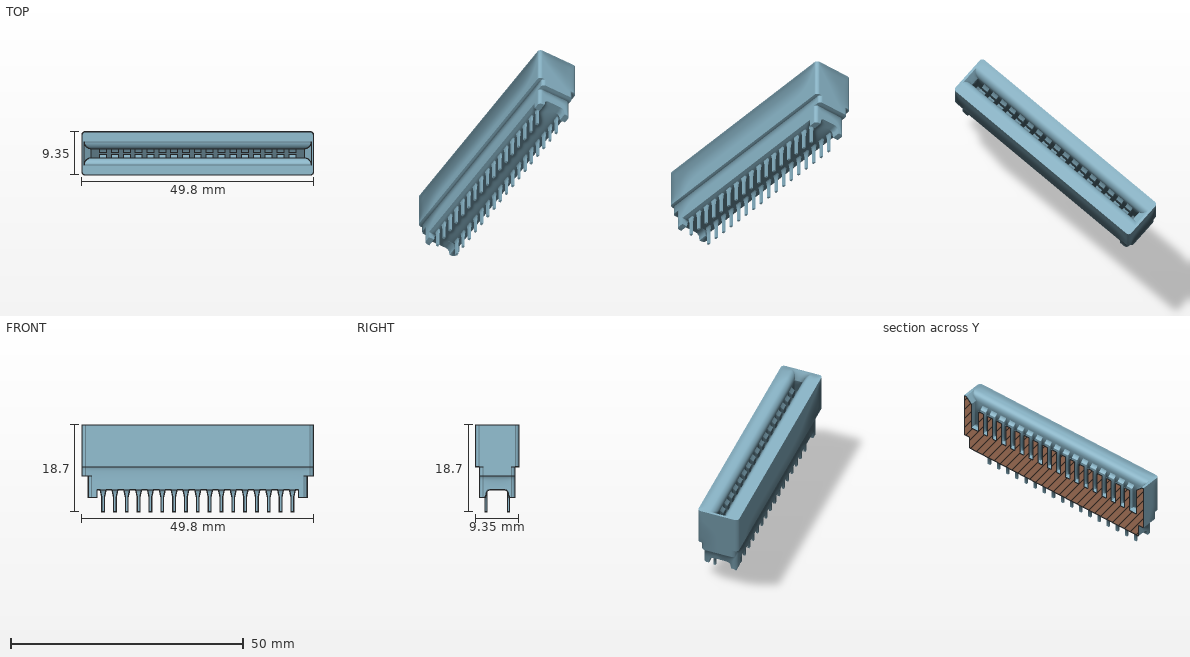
import cadquery as cq


length = 49.78
width = 9.35
total_height = 18.67
upper_depth = 9.02
shoulder_depth = 10.98
leg_depth = 15.62
base_depth = 13.95
narrow_width = 7.67
base_length = 47.06
corner_radius = 0.76
leg_length = 1.95

arch_foot_width = 5.1
arch_top_width = 4.5
arch_crown = 0.06
arch_radius = 0.9

slot_length = 45.74
slot_width = 1.95
slot_depth = 8.0
mouth_radius = 1.5

contact_count = 17
pitch = 2.54
contact_width = 1.5
contact_gap = 0.46
contact_start_depth = 2.0
contact_tip_depth = 2.65
ramp_sag = 0.09
pin_row_offset = 2.41
pin_thickness = 0.46
pin_width = 0.62
pin_root_width = 1.3
pin_taper_depth = 15.5
pin_embed = 0.5


def rounded_block(x_size, y_size, top_depth, bottom_depth):
    """Block with rounded vertical corners between two depths below the mating face."""
    height = bottom_depth - top_depth
    block = cq.Workplane("XY").box(x_size, y_size, height, centered=(True, True, False))
    return block.edges("|Z").fillet(corner_radius).translate((0, 0, -bottom_depth))


def make_housing():
    upper = rounded_block(length, width, 0, upper_depth)
    shoulder = rounded_block(length, narrow_width, upper_depth / 2, shoulder_depth)
    base = rounded_block(base_length, narrow_width, upper_depth / 2, leg_depth)
    return upper.union(shoulder).union(base)


def make_underside_relief():
    """Full-width gap between the end legs plus the arch running through them."""
    height = leg_depth - base_depth
    gap_length = base_length - 2 * leg_length
    gap = cq.Workplane("XY").box(gap_length, width, height, centered=(True, True, False))
    gap = gap.translate((0, 0, -leg_depth))
    roof_edge_z = -base_depth - arch_crown
    arch = (
        cq.Workplane("YZ")
        .moveTo(-arch_foot_width / 2, -leg_depth)
        .lineTo(-arch_top_width / 2, roof_edge_z)
        .threePointArc((0, -base_depth), (arch_top_width / 2, roof_edge_z))
        .lineTo(arch_foot_width / 2, -leg_depth)
        .close()
        .extrude(length / 2, both=True)
        .edges("|X and (not <Z)")
        .fillet(arch_radius)
    )
    return gap.union(arch)


def make_card_slot():
    """Straight slot whose mouth has convex rounded sides and 45-degree sloped ends."""
    slot = cq.Workplane("XY").box(slot_length, slot_width, slot_depth, centered=(True, True, False))
    slot = slot.translate((0, 0, -slot_depth))

    half_slot = slot_width / 2
    half_mouth = half_slot + mouth_radius
    mouth_length = slot_length + 2 * mouth_radius
    arc_shift = mouth_radius * (1 - 0.5 ** 0.5)
    flare = (
        cq.Workplane("YZ")
        .moveTo(-half_mouth, 0)
        .threePointArc((-half_slot - arc_shift, -arc_shift), (-half_slot, -mouth_radius))
        .lineTo(half_slot, -mouth_radius)
        .threePointArc((half_slot + arc_shift, -arc_shift), (half_mouth, 0))
        .close()
        .extrude(mouth_length / 2, both=True)
    )
    sloped_ends = (
        cq.Workplane("XZ")
        .polyline([
            (-mouth_length / 2, 0),
            (mouth_length / 2, 0),
            (slot_length / 2, -mouth_radius),
            (-slot_length / 2, -mouth_radius),
        ])
        .close()
        .extrude(width / 2, both=True)
    )
    return slot.union(flare.intersect(sloped_ends))


def make_contact():
    """Contact strip on the +Y slot wall, with a concave lead-in ramp at its top."""
    wall_y = slot_width / 2
    tip_y = contact_gap / 2
    ramp_middle = (
        (wall_y + tip_y) / 2,
        -(contact_start_depth + contact_tip_depth) / 2 - ramp_sag,
    )
    return (
        cq.Workplane("YZ")
        .moveTo(wall_y, -slot_depth)
        .lineTo(wall_y, -contact_start_depth)
        .threePointArc(ramp_middle, (tip_y, -contact_tip_depth))
        .lineTo(tip_y, -slot_depth)
        .close()
        .extrude(contact_width / 2, both=True)
    )


def make_pin():
    """Flat solder pin of the +Y row, tapering from a wide root to a straight tail."""
    half_root = pin_root_width / 2
    half_tail = pin_width / 2
    root_z = pin_embed - base_depth
    return (
        cq.Workplane("XZ")
        .polyline([
            (-half_root, root_z),
            (half_root, root_z),
            (half_root, -base_depth),
            (half_tail, -pin_taper_depth),
            (half_tail, -total_height),
            (-half_tail, -total_height),
            (-half_tail, -pin_taper_depth),
            (-half_root, -base_depth),
        ])
        .close()
        .extrude(pin_thickness / 2, both=True)
        .translate((0, pin_row_offset, 0))
    )


def make_terminals():
    """Contacts and pins of both rows at every position."""
    terminal_solids = []
    for shape in (make_contact(), make_pin()):
        for row in (shape, shape.mirror("XZ")):
            for index in range(contact_count):
                x = (index - (contact_count - 1) / 2) * pitch
                terminal_solids.append(row.translate((x, 0, 0)).val())
    return terminal_solids


housing = make_housing().cut(make_underside_relief()).cut(make_card_slot())
result = cq.Workplane(housing.val().fuse(*make_terminals()))